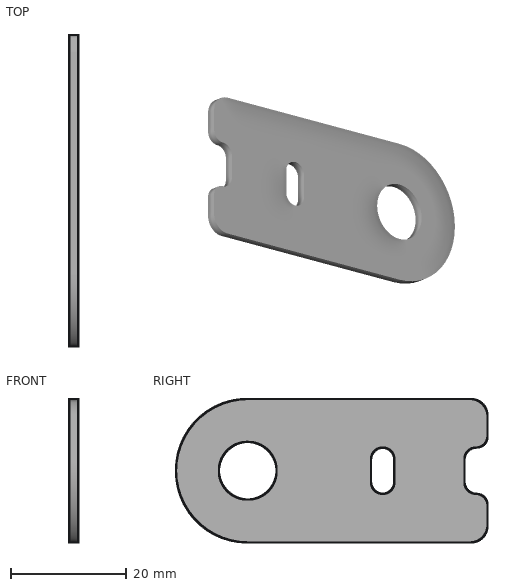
import cadquery as cq

thickness = 1.65
length = 54.22
width = 25.0
corner_radius = 3.0

end_radius = width / 2
hole_diameter = 10.0
square_end = length - end_radius

slot_width = 4.0
slot_length = 8.0
slot_to_square_end = 18.25
slot_center = square_end - slot_to_square_end

notch_depth = 4.0
notch_width = 8.0
notch_radius = notch_depth / 2


def make_plate():
    """Flat plate with one round end and one square end with rounded corners."""
    half_width = width / 2
    plate = (
        cq.Workplane("YZ")
        .moveTo(0, half_width)
        .lineTo(square_end, half_width)
        .lineTo(square_end, -half_width)
        .lineTo(0, -half_width)
        .threePointArc((-end_radius, 0), (0, half_width))
        .close()
        .extrude(thickness)
    )
    return plate.edges("|X and >Y").fillet(corner_radius)


def make_hole():
    """Round hole concentric with the round end."""
    return cq.Workplane("YZ").circle(hole_diameter / 2).extrude(thickness)


def make_slot():
    """Slot with full-radius ends, its long axis along Z."""
    slot = cq.Workplane("YZ").center(slot_center, 0)
    return slot.slot2D(slot_length, slot_width, 90).extrude(thickness)


def make_notch():
    """Notch with rounded inner corners and a mouth that flares out in convex arcs."""
    half_width = notch_width / 2
    floor = square_end - notch_depth
    floor_half_width = half_width - notch_radius
    arc_joint = square_end - notch_radius
    mouth_half_width = half_width + notch_radius
    return (
        cq.Workplane("YZ")
        .moveTo(square_end, mouth_half_width)
        .radiusArc((arc_joint, half_width), notch_radius)
        .radiusArc((floor, floor_half_width), -notch_radius)
        .lineTo(floor, -floor_half_width)
        .radiusArc((arc_joint, -half_width), -notch_radius)
        .radiusArc((square_end, -mouth_half_width), notch_radius)
        .close()
        .extrude(thickness)
    )


result = make_plate().cut(make_hole()).cut(make_slot()).cut(make_notch())